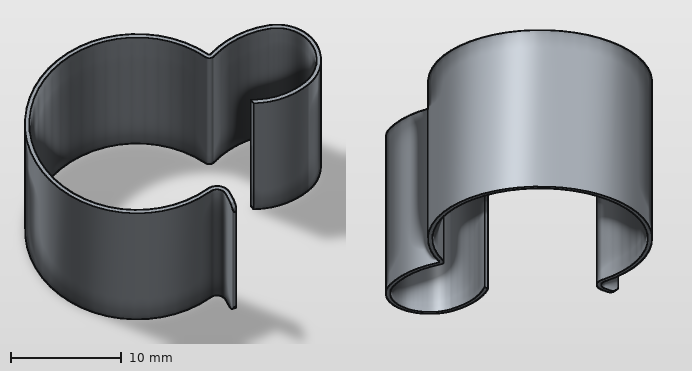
import cadquery as cq
import math

width = 16.0
thickness = 0.4
half_thickness = thickness / 2

ring_radius = 9.95
hook_end_angle = 7.2
loop_end_angle = 106.7
ring_sweep = 360 - (loop_end_angle - hook_end_angle)

lip_bend_radius = 1.05
lip_slope = 10
lip_reach = 12.72
tab_corner_radius = 1.0

loop_bends = [
    (0.35, 92.0),
    (8.57, -41.1),
    (3.78, -146.3),
    (6.95, -48.0),
]
loop_cut_y = 10.03


def polar(center, radius, angle):
    turn = math.radians(angle)
    return (center[0] + radius * math.cos(turn), center[1] + radius * math.sin(turn))


def curved_strip(center, radius, start_angle, sweep):
    """Strip bent about a center, starting at an angle and turning by sweep."""
    inner = radius - half_thickness
    outer = radius + half_thickness
    middle_angle = start_angle + sweep / 2
    end_angle = start_angle + sweep
    return (
        cq.Workplane("XY")
        .moveTo(*polar(center, outer, start_angle))
        .threePointArc(polar(center, outer, middle_angle), polar(center, outer, end_angle))
        .lineTo(*polar(center, inner, end_angle))
        .threePointArc(polar(center, inner, middle_angle), polar(center, inner, start_angle))
        .close()
        .extrude(width)
    )


def bend(point, heading, radius, turn):
    """Bend tangent to a heading; gives the strip, its end point and its end heading."""
    side = math.copysign(90, turn)
    center = polar(point, radius, heading + side)
    start_angle = heading - side
    strip = curved_strip(center, radius, start_angle, turn)
    return strip, polar(center, radius, start_angle + turn), heading + turn


def small_loop():
    point = polar((0, 0), ring_radius, loop_end_angle)
    heading = loop_end_angle - 90
    strips = []
    for radius, turn in loop_bends:
        strip, point, heading = bend(point, heading, radius, turn)
        strips.append(strip)
    loop = strips[0]
    for strip in strips[1:]:
        loop = loop.union(strip)
    trim_size = 4 * thickness
    trim = (
        cq.Workplane("XY")
        .center(point[0], loop_cut_y - trim_size / 2)
        .rect(2 * trim_size, trim_size)
        .extrude(width)
    )
    return loop.cut(trim)


def lip():
    start = polar((0, 0), ring_radius, hook_end_angle)
    heading = hook_end_angle + 90
    strip, point, heading = bend(start, heading, lip_bend_radius, -lip_slope - heading)

    length = (lip_reach - half_thickness - point[0]) / math.cos(math.radians(lip_slope))
    flat = cq.Workplane("XY").center(length / 2, 0).rect(length, thickness).extrude(width)
    round_edge = cq.Workplane("XY").center(length, 0).circle(half_thickness).extrude(width)
    tab = flat.union(round_edge)

    tab_end = length + half_thickness
    corner_profile = (
        cq.Workplane("XZ")
        .center(tab_end / 2, width / 2)
        .rect(tab_end, width)
        .extrude(half_thickness, both=True)
        .edges("|Y and >X")
        .fillet(tab_corner_radius)
    )
    tab = tab.intersect(corner_profile)
    tab = tab.rotate((0, 0, 0), (0, 0, 1), heading).translate((point[0], point[1], 0))
    return strip.union(tab)


ring = curved_strip((0, 0), ring_radius, loop_end_angle, ring_sweep)
result = ring.union(small_loop()).union(lip())